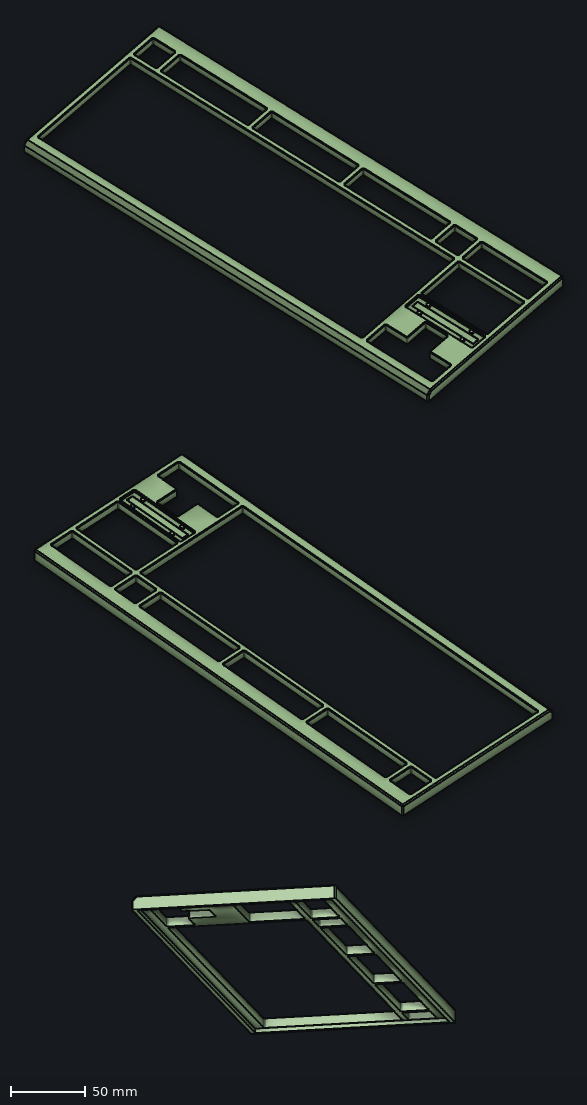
import cadquery as cq
LENGTH = 358.0
DEPTH = 141.5
HEIGHT = 9.5

KEY = 19.05
KEY_CLEARANCE = 0.25
RIB = KEY / 4
FUNCTION_ROW_KEYS = (1, 4, 4, 4, 1, 3)
MAIN_KEYS = 15
MAIN_ROWS = 5
NAV_KEYS = 3
REAR_BORDER = 12.0
SIDE_BORDER = (LENGTH - (MAIN_KEYS + NAV_KEYS) * KEY - RIB) / 2

PLATE = 6.8
WALL = 3.5

FRONT_BEVEL = 3.2
OUTER_CHAMFER = 1.0
CORNER_RADIUS = 0.7
RIM_CHAMFER = 0.5

RECESS_LENGTH = 58.7
RECESS_WIDTH = 13.5
RECESS_DEPTH = 1.8
BAR_LENGTH = 53.7
BAR_WIDTH = 5.5
BAR_HEIGHT = 0.5
PIN_DIAMETER = 3.0
PIN_HEIGHT = 1.0
PIN_SPACING_X = 2 * KEY
PIN_SPACING_Y = (RECESS_WIDTH + BAR_WIDTH) / 2

MAIN_X = -LENGTH / 2 + SIDE_BORDER
NAV_X = MAIN_X + MAIN_KEYS * KEY + RIB
FUNCTION_Y = DEPTH / 2 - REAR_BORDER - KEY
MAIN_Y = FUNCTION_Y - RIB - MAIN_ROWS * KEY
RECESS_X = NAV_X + NAV_KEYS * KEY / 2
RECESS_Y = MAIN_Y + 2.5 * KEY


def make_shell():
    """Block with a bevelled front and chamfered outer edges, hollowed from below."""
    front_y = -DEPTH / 2
    block = (
        cq.Workplane("YZ")
        .moveTo(front_y, 0)
        .lineTo(-front_y, 0)
        .lineTo(-front_y, HEIGHT)
        .lineTo(front_y + FRONT_BEVEL, HEIGHT)
        .lineTo(front_y, HEIGHT - FRONT_BEVEL)
        .close()
        .extrude(LENGTH / 2, both=True)
    )
    bevel_sides = "not (|X or |Y or |Z)"
    top_sides = "|Y and >Z"
    top_rear = "|X and >Z and >Y"
    block = block.edges(f"|Z or ({bevel_sides}) or ({top_sides}) or ({top_rear})").chamfer(OUTER_CHAMFER)
    hollow = cq.Workplane("XY").rect(LENGTH - 2 * WALL, DEPTH - 2 * WALL).extrude(HEIGHT - PLATE)
    return block.cut(hollow)


def prism(x, y, length, depth, bottom, growth=0.0):
    """Upright prism from `bottom` to the top face, grown sideways by `growth`."""
    return (
        cq.Workplane("XY", origin=(x + length / 2, y + depth / 2, bottom))
        .rect(length + 2 * growth, depth + 2 * growth)
        .extrude(HEIGHT - bottom)
    )


def rimmed_cutter(rectangles, bottom, clearance):
    """Rounded cutter made of touching rectangles, flared at the top to leave a chamfered rim."""
    cutter = None
    for x, y, length, depth in rectangles:
        piece = prism(x, y, length, depth, bottom, clearance)
        cutter = piece if cutter is None else cutter.union(piece)
    cutter = cutter.clean().edges("|Z").fillet(CORNER_RADIUS)
    mouth = cutter.faces(">Z").wires().toPending().workplane()
    flare = mouth.extrude(-RIM_CHAMFER, combine=False)
    flare = flare.faces("<Z").wires().toPending().extrude(RIM_CHAMFER, taper=-45, combine=False)
    return cutter.union(flare)


def key_opening(*cells):
    """Through opening over key cells given as (x, y, keys wide, keys deep)."""
    rectangles = [(x, y, wide * KEY, deep * KEY) for x, y, wide, deep in cells]
    return rimmed_cutter(rectangles, 0, KEY_CLEARANCE)


def make_openings():
    """Openings for the function row, main block, navigation keys and arrow keys."""
    openings = []
    x = MAIN_X
    for keys in FUNCTION_ROW_KEYS:
        openings.append(key_opening((x, FUNCTION_Y, keys, 1)))
        x += keys * KEY + RIB
    openings.append(key_opening((MAIN_X, MAIN_Y, MAIN_KEYS, MAIN_ROWS)))
    openings.append(key_opening((NAV_X, MAIN_Y + 3 * KEY, NAV_KEYS, 2)))
    openings.append(key_opening((NAV_X, MAIN_Y, NAV_KEYS, 1), (NAV_X + KEY, MAIN_Y, 1, 2)))
    return openings


def make_recess():
    """Shallow rimmed recess above the arrow keys."""
    corner = (RECESS_X - RECESS_LENGTH / 2, RECESS_Y - RECESS_WIDTH / 2)
    return rimmed_cutter([(*corner, RECESS_LENGTH, RECESS_WIDTH)], HEIGHT - RECESS_DEPTH, 0)


def make_recess_details():
    """Low bar and four pins standing on the recess floor."""
    floor = cq.Workplane("XY", origin=(RECESS_X, RECESS_Y, HEIGHT - RECESS_DEPTH))
    bar = floor.rect(BAR_LENGTH, BAR_WIDTH).extrude(BAR_HEIGHT)
    pins = floor.rect(PIN_SPACING_X, PIN_SPACING_Y, forConstruction=True).vertices()
    return bar, pins.circle(PIN_DIAMETER / 2).extrude(PIN_HEIGHT)


result = make_shell()
for opening in make_openings():
    result = result.cut(opening)
result = result.cut(make_recess())
for detail in make_recess_details():
    result = result.union(detail)